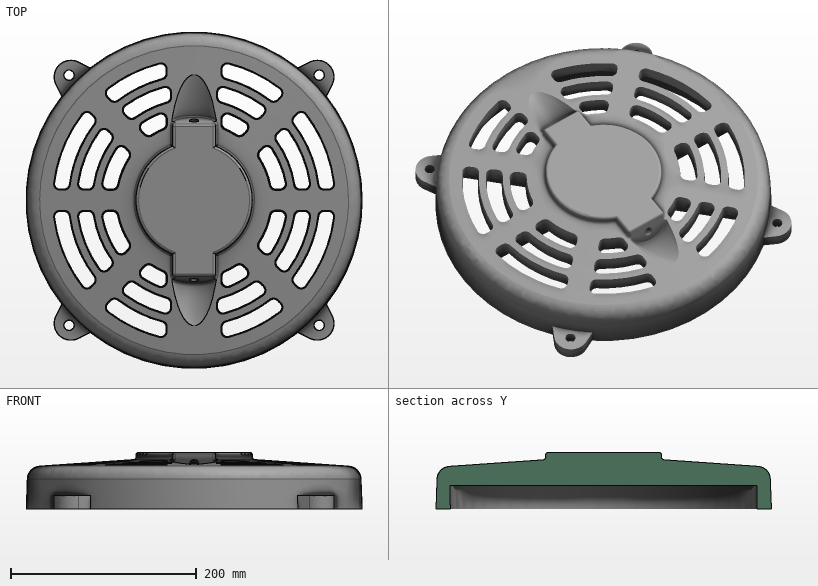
import cadquery as cq
import math

rim_radius = 181.0
rim_top_radius = 179.2
height = 61.0
cone_slope = math.tan(math.radians(4))
cone_apex_z = 58.0
underside_z = 33.5
wall_thickness = 16.0
shoulder_fillet = 14.5
cavity_radius = rim_radius - wall_thickness

boss_radius = 62.5
tab_half_width = 23.0
tab_half_length = 81.5
tab_end_angle = 19.5
boss_edge_fillet = 3.0
boss_base_fillet = 2.5

scoop_radius = 27.0
scoop_tip_y = 135.0
scoop_foot_y = 89.8
scoop_foot_z = 37.5
scoop_fillet = 1.8
tab_hole_diameter = 9.5
tab_hole_depth = 11.0
tab_hole_z = 49.0

slot_width = 16.0
slot_row_pitch = 25.7
slot_inner_row_radius = 92.0
slot_row_radii = [slot_inner_row_radius + row * slot_row_pitch for row in range(3)]
slot_corner_radius = 5.8
slot_draft = 4.0
axis_half_gap = 12.0
diagonal_half_gap = 13.0
scoop_half_gaps = [30.0, 25.5, 30.0]

rib_angles = [0, 45, 135]
rib_width = 23.0
rib_bottom_z = 25.0

lug_angles = [45, 135, 225, 315]
lug_hole_distance = 190.5
lug_hole_diameter = 11.0
lug_end_distance = 187.5
lug_end_radius = 18.0
lug_height = 14.5
lug_side_angle = 18.0


def cone_z(radius):
    """Height of the conical top face at a radius."""
    return cone_apex_z - cone_slope * radius


def make_cavity():
    return cq.Workplane("XY").circle(cavity_radius).extrude(underside_z)


def make_dome():
    """Solid outside form: drafted rim, rounded shoulder and shallow cone."""
    sharp = (
        cq.Workplane("XZ")
        .lineTo(rim_radius, 0)
        .lineTo(rim_top_radius, cone_z(rim_top_radius))
        .lineTo(0, cone_apex_z)
        .close()
        .revolve(360, (0, 0, 0), (0, 1, 0))
    )
    shoulder = sharp.edges("%CIRCLE").edges(">Z")
    return shoulder.fillet(shoulder_fillet)


def tab_end_y(z):
    """Distance of the sloping tab end from the X axis at a height."""
    return tab_half_length + (height - z) * math.tan(math.radians(tab_end_angle))


def make_tab_bar():
    """Bar along Y whose two ends slope outwards towards the bottom."""
    return (
        cq.Workplane("YZ")
        .moveTo(-tab_end_y(underside_z), underside_z)
        .lineTo(tab_end_y(underside_z), underside_z)
        .lineTo(tab_half_length, height)
        .lineTo(-tab_half_length, height)
        .close()
        .extrude(tab_half_width, both=True)
    )


def make_boss():
    disc = cq.Workplane("XY").workplane(offset=underside_z).circle(boss_radius).extrude(height - underside_z)
    boss = disc.union(make_tab_bar())
    rim_and_tab_corners = boss.edges(">Z or (%LINE and (not (#Z or |Z)))")
    return rim_and_tab_corners.fillet(boss_edge_fillet)


def blend_boss_base(body):
    """Fillet where the boss and the tab sides meet the cone; the scoops replace it at the tab ends."""
    margin = boss_base_fillet / 2
    seam = body.edges(cq.selectors.BoxSelector(
        (-boss_radius - margin, -tab_half_length, cone_z(tab_half_length) - margin),
        (boss_radius + margin, tab_half_length, cone_z(boss_radius) + margin),
    ))
    return seam.fillet(boss_base_fillet)


def make_scoop():
    """Cutter for the +Y scoop: a sloping cylinder that stops at the tab end."""
    rise = cone_z(scoop_tip_y) - scoop_foot_z
    run = scoop_tip_y - scoop_foot_y
    floor_start = cq.Plane(origin=(0, scoop_foot_y, scoop_foot_z), xDir=(1, 0, 0), normal=(0, run, rise))
    cylinder = (
        cq.Workplane(floor_start)
        .center(0, -scoop_radius)
        .circle(scoop_radius)
        .extrude(2 * run, both=True)
    )
    clear_of_tab = (
        cq.Workplane("YZ")
        .moveTo(tab_end_y(0), 0)
        .lineTo(rim_radius, 0)
        .lineTo(rim_radius, height)
        .lineTo(tab_half_length, height)
        .close()
        .extrude(2 * scoop_radius, both=True)
    )
    cutter = cylinder.intersect(clear_of_tab)
    return cutter.faces("<Y").edges("%ELLIPSE").fillet(scoop_fillet)


def make_tab_hole():
    """Blind hole square to the sloping +Y tab end."""
    tilt = math.radians(tab_end_angle)
    end_plane = cq.Plane(
        origin=(0, tab_end_y(tab_hole_z), tab_hole_z),
        xDir=(1, 0, 0),
        normal=(0, math.cos(tilt), math.sin(tilt)),
    )
    return cq.Workplane(end_plane).circle(tab_hole_diameter / 2).extrude(-tab_hole_depth)


def point_beside_ray(radius, ray_angle, offset):
    """Point at a radius that lies a signed offset to the left of a ray from the centre."""
    angle = math.radians(ray_angle) + math.asin(offset / radius)
    return (radius * math.cos(angle), radius * math.sin(angle))


def slot_outline(mid_radius, start_angle, start_gap, end_angle, end_gap, growth):
    """Curved slot whose ends run parallel to two rays, enlarged all round by the growth."""
    inner = mid_radius - slot_width / 2 - growth
    outer = mid_radius + slot_width / 2 + growth
    mid_angle = (start_angle + end_angle) / 2
    inner_start = point_beside_ray(inner, start_angle, start_gap - growth)
    outer_start = point_beside_ray(outer, start_angle, start_gap - growth)
    inner_end = point_beside_ray(inner, end_angle, growth - end_gap)
    outer_end = point_beside_ray(outer, end_angle, growth - end_gap)
    return (
        cq.Sketch()
        .segment(inner_start, outer_start)
        .arc(outer_start, point_beside_ray(outer, mid_angle, 0), outer_end)
        .segment(outer_end, inner_end)
        .arc(inner_end, point_beside_ray(inner, mid_angle, 0), inner_start)
        .assemble()
        .vertices()
        .fillet(slot_corner_radius + growth)
    )


def make_slot(*placement):
    """Cutter for one drafted slot, from the underside up to the overall height."""
    depth = height - underside_z
    growth = depth * math.tan(math.radians(slot_draft))
    lower = slot_outline(*placement, 0)
    upper = slot_outline(*placement, growth).moved(cq.Location(cq.Vector(0, 0, depth)))
    return cq.Workplane("XY").workplane(offset=underside_z).placeSketch(lower, upper).loft(ruled=True)


def make_slots():
    quadrant = cq.Workplane("XY")
    for radius, scoop_half_gap in zip(slot_row_radii, scoop_half_gaps):
        quadrant.add(make_slot(radius, 0, axis_half_gap, 45, diagonal_half_gap))
        quadrant.add(make_slot(radius, 45, diagonal_half_gap, 90, scoop_half_gap))
    half = quadrant.add(quadrant.mirror("YZ"))
    return half.add(half.mirror("XZ")).combine()


def make_ribs():
    depth = underside_z - rib_bottom_z
    bar = (
        cq.Workplane("XY")
        .workplane(offset=rib_bottom_z)
        .box(2 * rim_radius, rib_width, depth, centered=(True, True, False))
    )
    ribs = cq.Workplane("XY")
    for angle in rib_angles:
        ribs.add(bar.rotate((0, 0, 0), (0, 0, 1), angle))
    return ribs.combine().intersect(make_cavity())


def make_lug():
    """Lug on the +X axis, rounded at the tip and widening towards the rim."""
    side = math.radians(lug_side_angle)
    tangent_x = lug_end_distance + lug_end_radius * math.sin(side)
    tangent_y = lug_end_radius * math.cos(side)
    root_y = tangent_y + (tangent_x - cavity_radius) * math.tan(side)
    blank = (
        cq.Workplane("XY")
        .moveTo(cavity_radius, -root_y)
        .lineTo(tangent_x, -tangent_y)
        .threePointArc((lug_end_distance + lug_end_radius, 0), (tangent_x, tangent_y))
        .lineTo(cavity_radius, root_y)
        .close()
        .extrude(lug_height)
    )
    hole = cq.Workplane("XY").center(lug_hole_distance, 0).circle(lug_hole_diameter / 2).extrude(lug_height)
    return blank.cut(hole)


body = blend_boss_base(make_dome().union(make_boss()))

for end_cutter in (make_scoop(), make_tab_hole()):
    body = body.cut(end_cutter).cut(end_cutter.mirror("XZ"))

for lug_angle in lug_angles:
    body = body.union(make_lug().rotate((0, 0, 0), (0, 0, 1), lug_angle))

body = body.cut(make_cavity()).union(make_ribs())
result = cq.Workplane(body.cut(make_slots()).solids().val())